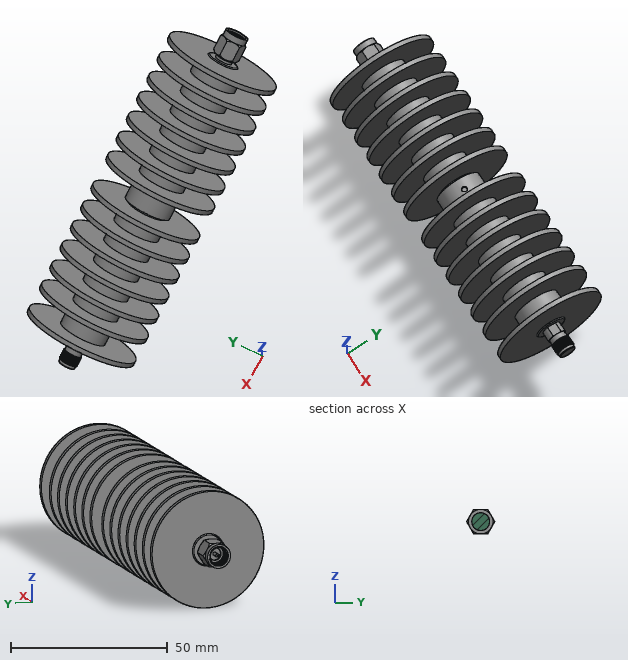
import cadquery as cq
import math

TOTAL_LENGTH = 122.0

FIN_DIAMETER = 38.1
FIN_THICKNESS = 1.6
FIRST_FIN_X = 10.0
LEFT_FIN_COUNT = 7
RIGHT_FIN_COUNT = 6
LEFT_FIN_SPAN = 44.0
FIN_PITCH = LEFT_FIN_SPAN / (LEFT_FIN_COUNT - 1)
END_FIN_GAP = 8.8
CORE_DIAMETER = 15.9

BLOCK_LENGTH = 7.7
RELIEF_WIDTH = 0.7
RELIEF_DIAMETER = 13.3
SCREW_HOLE_DIAMETER = 1.8
SCREW_HOLE_DEPTH = 1.2

FLANGE_BASE_DIAMETER = 10.6
FLANGE_TOP_DIAMETER = 9.9
FLANGE_THICKNESS = 0.4

NUT_ACROSS_FLATS = 7.8
NUT_COLLAR_DIAMETER = NUT_ACROSS_FLATS
NUT_START_X = 2.1
NUT_END_X = 8.3
NUT_BEVEL_LENGTH = 0.6
NUT_BEVEL_DIAMETER = NUT_ACROSS_FLATS
NUT_BORE_LIP = 0.6
NUT_THREAD_COUNT = 4
SOCKET_DIAMETER = 4.0
SOCKET_DEPTH = 0.6
PIN_DIAMETER = 1.1
PIN_TIP_CHAMFER = 0.4
PIN_START_X = 1.1
NECK_START_DIAMETER = 5.0
NECK_TAPER_LENGTH = 0.5
NECK_DIAMETER = 5.7

FLATTED_DIAMETER = 6.3
FLATTED_ACROSS_FLATS = 5.6
FLATTED_END_X = 115.7
BARREL_DIAMETER = 5.7
BARREL_END_CHAMFER = 0.2
THREAD_START_X = 117.4
THREAD_COUNT = 5

THREAD_MAJOR_DIAMETER = 6.3
THREAD_MINOR_DIAMETER = 5.5
THREAD_PITCH = 0.7
THREAD_CREST_WIDTH = 0.2
THREAD_FLANK_WIDTH = 0.18

left_fins = [FIRST_FIN_X + i * FIN_PITCH for i in range(LEFT_FIN_COUNT)]
block_start_x = left_fins[-1] + FIN_THICKNESS + RELIEF_WIDTH
block_end_x = block_start_x + BLOCK_LENGTH
right_core_x = block_end_x + RELIEF_WIDTH
right_fins = [right_core_x + i * FIN_PITCH for i in range(RIGHT_FIN_COUNT)]
end_fin_x = right_fins[-1] + END_FIN_GAP
body_end_x = end_fin_x + FIN_THICKNESS


def cylinder(start_x, end_x, diameter):
    """Solid cylinder on the X axis."""
    return cq.Workplane("YZ", origin=(start_x, 0, 0)).circle(diameter / 2).extrude(end_x - start_x)


def turned(points):
    """Solid turned about the X axis from an (x, radius) outline."""
    return cq.Workplane("XY").polyline(points).close().revolve(360, (0, 0, 0), (1, 0, 0))


def make_body():
    body = cylinder(FIRST_FIN_X, body_end_x, RELIEF_DIAMETER)
    core_spans = (
        (FIRST_FIN_X, left_fins[-1] + FIN_THICKNESS),
        (block_start_x, block_end_x),
        (right_core_x, body_end_x),
    )
    for start_x, end_x in core_spans:
        body = body.union(cylinder(start_x, end_x, CORE_DIAMETER))
    for fin_x in left_fins + right_fins + [end_fin_x]:
        body = body.union(cylinder(fin_x, fin_x + FIN_THICKNESS, FIN_DIAMETER))
    return body


def make_screw_hole():
    core_radius = CORE_DIAMETER / 2
    center_x = (block_start_x + block_end_x) / 2
    floor = cq.Workplane("XY", origin=(center_x, 0, core_radius - SCREW_HOLE_DEPTH))
    return floor.circle(SCREW_HOLE_DIAMETER / 2).extrude(2 * SCREW_HOLE_DEPTH)


def make_flange(face_x, outward):
    """Bevelled flange on a body end face; outward is -1 or +1 along X."""
    top_x = face_x + outward * FLANGE_THICKNESS
    return turned([
        (face_x, 0),
        (face_x, FLANGE_BASE_DIAMETER / 2),
        (top_x, FLANGE_TOP_DIAMETER / 2),
        (top_x, 0),
    ])


def make_nut():
    """Hexagon with flats facing +Z and -Z, its corners bevelled at both ends."""
    across_corners = NUT_ACROSS_FLATS / math.cos(math.pi / 6)
    hexagon = (
        cq.Workplane("YZ", origin=(NUT_START_X, 0, 0))
        .polygon(6, across_corners)
        .extrude(NUT_END_X - NUT_START_X)
    )
    bevel_envelope = turned([
        (NUT_START_X, 0),
        (NUT_START_X, NUT_BEVEL_DIAMETER / 2),
        (NUT_START_X + NUT_BEVEL_LENGTH, across_corners / 2),
        (NUT_END_X - NUT_BEVEL_LENGTH, across_corners / 2),
        (NUT_END_X, NUT_BEVEL_DIAMETER / 2),
        (NUT_END_X, 0),
    ])
    return hexagon.intersect(bevel_envelope)


def make_thread(start_x, count):
    """Rod with ridges side by side; each pitch is a rise, a crest, a fall and a root."""
    crest_radius = THREAD_MAJOR_DIAMETER / 2
    root_radius = THREAD_MINOR_DIAMETER / 2
    outline = [(start_x, 0), (start_x, root_radius)]
    for i in range(count):
        ridge_x = start_x + i * THREAD_PITCH
        crest_x = ridge_x + THREAD_FLANK_WIDTH
        crest_end_x = crest_x + THREAD_CREST_WIDTH
        outline += [
            (crest_x, crest_radius),
            (crest_end_x, crest_radius),
            (crest_end_x + THREAD_FLANK_WIDTH, root_radius),
            (ridge_x + THREAD_PITCH, root_radius),
        ]
    outline.append((start_x + count * THREAD_PITCH, 0))
    return turned(outline)


def make_male_connector():
    connector = cylinder(0, NUT_START_X, NUT_COLLAR_DIAMETER).union(make_nut())
    floor_x = NUT_BORE_LIP + NUT_THREAD_COUNT * THREAD_PITCH
    socket_floor_x = floor_x + SOCKET_DEPTH
    connector = connector.cut(cylinder(0, NUT_BORE_LIP, THREAD_MAJOR_DIAMETER))
    connector = connector.cut(make_thread(NUT_BORE_LIP, NUT_THREAD_COUNT))
    connector = connector.cut(cylinder(floor_x, socket_floor_x, SOCKET_DIAMETER))
    pin = cylinder(PIN_START_X, socket_floor_x, PIN_DIAMETER)
    connector = connector.union(pin.faces("<X").chamfer(PIN_TIP_CHAMFER))
    neck = turned([
        (NUT_END_X, 0),
        (NUT_END_X, NECK_START_DIAMETER / 2),
        (NUT_END_X + NECK_TAPER_LENGTH, NECK_DIAMETER / 2),
        (FIRST_FIN_X, NECK_DIAMETER / 2),
        (FIRST_FIN_X, 0),
    ])
    return connector.union(neck)


def make_female_connector():
    """Barrel with two wrench flats facing +Z and -Z next to the body."""
    flatted = cylinder(body_end_x, FLATTED_END_X, FLATTED_DIAMETER)
    flats = cq.Workplane("XY").box(2 * TOTAL_LENGTH, FLATTED_DIAMETER, FLATTED_ACROSS_FLATS)
    connector = flatted.intersect(flats)
    barrel = cylinder(FLATTED_END_X, TOTAL_LENGTH, BARREL_DIAMETER)
    barrel = barrel.faces(">X").chamfer(BARREL_END_CHAMFER)
    return connector.union(barrel).union(make_thread(THREAD_START_X, THREAD_COUNT))


result = (
    make_body()
    .cut(make_screw_hole())
    .union(make_flange(FIRST_FIN_X, -1))
    .union(make_flange(body_end_x, 1))
    .union(make_male_connector())
    .union(make_female_connector())
)